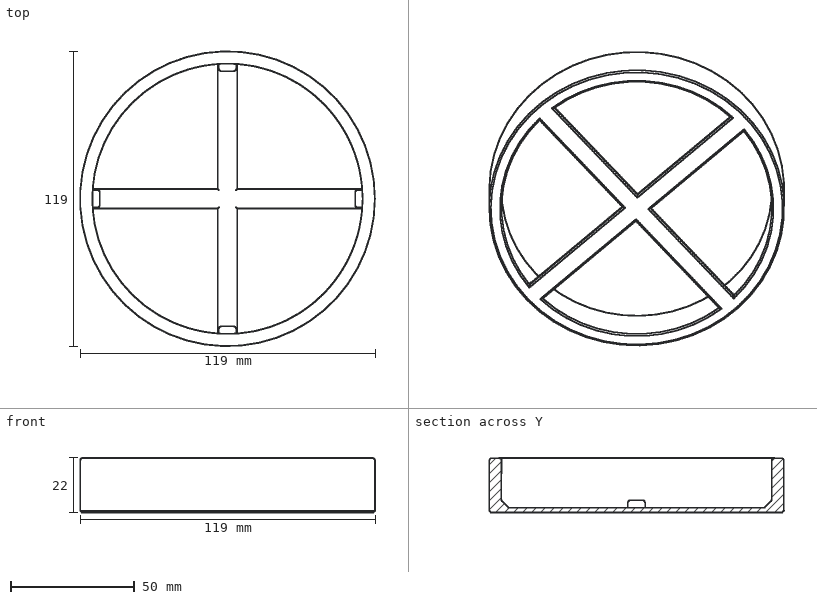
import cadquery as cq

outer_diameter = 119.0
inner_diameter = 109.0
ring_height = 22.0
rim_fillet = 1.0

bottom_chamfer = 0.7

spoke_width = 8.0
spoke_height = 2.0
spoke_fillet = 0.7

wedge_reach = 3.0
wedge_width = 7.0
wedge_fillet = 0.9
wedge_sink = spoke_height / 2

outer_radius = outer_diameter / 2
inner_radius = inner_diameter / 2
wall_middle_radius = (outer_radius + inner_radius) / 2
spoke_angles = [0, 90, 180, 270]


def soften_edges(body, top_fillet):
    """Round the top edges of a body and bevel its bottom edges."""
    rounded = body.faces(">Z").edges().fillet(top_fillet)
    return rounded.faces("<Z").edges().chamfer(bottom_chamfer)


def make_ring():
    """Round wall, softened at the inner and outer edges of both rims."""
    ring = cq.Workplane("XY").circle(outer_radius).circle(inner_radius).extrude(ring_height)
    return soften_edges(ring, rim_fillet)


def make_cross():
    """Two crossing bars with softened edges, ending inside the ring wall."""
    bar_length = 2 * wall_middle_radius
    bar_x = cq.Workplane("XY").box(bar_length, spoke_width, spoke_height, centered=(True, True, False))
    bar_y = bar_x.rotate((0, 0, 0), (0, 0, 1), 90)
    return soften_edges(bar_x.union(bar_y), spoke_fillet)


def make_wedge():
    """Sloped brace on the +X spoke, sunk into the spoke, with both sides of its slope rounded."""
    buried_toe_radius = inner_radius - wedge_reach - wedge_sink
    wedge_base = spoke_height - wedge_sink
    buried_length = wall_middle_radius - buried_toe_radius
    profile = [
        (buried_toe_radius, wedge_base),
        (wall_middle_radius, wedge_base),
        (wall_middle_radius, wedge_base + buried_length),
    ]
    wedge = cq.Workplane("XZ").polyline(profile).close().extrude(wedge_width / 2, both=True)
    return wedge.faces("<X").edges("not |Y").fillet(wedge_fillet)


result = make_ring().union(make_cross())
for angle in spoke_angles:
    result = result.union(make_wedge().rotate((0, 0, 0), (0, 0, 1), angle))